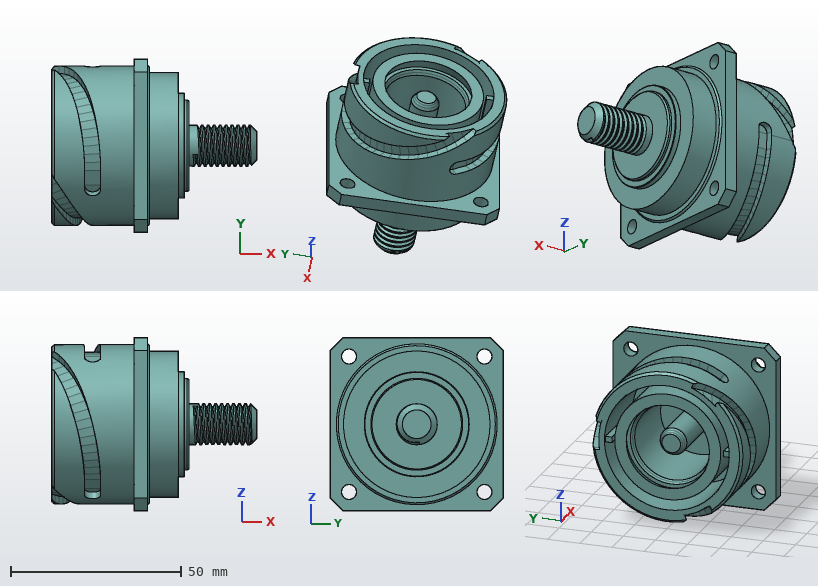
import cadquery as cq
import math

LENGTH = 60.2
FLANGE_FRONT = 24.2
FLANGE_THICKNESS = 4.0
FLANGE_BACK = FLANGE_FRONT + FLANGE_THICKNESS
COLLAR_BACK = FLANGE_BACK + 0.55
DRUM_BACK = 37.15
SHOULDER_BACK = 39.0
STEP_BACK = 40.35

BARREL_RADIUS = 23.4
BARREL_CHAMFER = 0.8
COLLAR_RADIUS = 23.6
COLLAR_CHAMFER = 0.55
DRUM_RADIUS = 21.5
SHOULDER_RADIUS = 15.4
SHOULDER_CHAMFER = 0.2
STEP_RADIUS = 13.5
STEP_CHAMFER = 0.35
STEP_CHAMFER_LENGTH = 0.65
STUD_RADIUS = 6.0
STUD_CHAMFER = 1.8

FLANGE_SIDE = 50.8
FLANGE_CORNER_CHAMFER = 3.75
HOLE_SPACING = 39.75
HOLE_DIAMETER = 4.35

SOCKET_RADIUS = 19.45
SOCKET_FLOOR = FLANGE_FRONT
SLEEVE_RADIUS = 16.5
SLEEVE_FRONT = 0.85
KEY_FRONT = 0.85
KEY_INNER_RADIUS = 17.4
KEY_WIDTH = 1.75

MOUTH_RADIUS = 12.95
MOUTH_FLARED_RADIUS = 13.95
LEDGE_X = 4.0
THROAT_RADIUS = 12.75
THROAT_TAPER_END_X = 4.75
THROAT_TAPER_END_RADIUS = 12.35
BORE_RADIUS = 12.0
BORE_BLEND_LENGTH = 0.7
BORE_FLOOR = FLANGE_BACK

PIN_RADIUS = 4.15
PIN_TIP_X = 3.85
PIN_TIP_RADIUS = 2.9
PIN_BEVEL_LENGTH = 0.5
PIN_BEVEL_RADIUS = 3.3
PIN_CONE_LENGTH = 1.1
PIN_CONE_RADIUS = 3.75
PIN_NOSE_LENGTH = 2.0

GROOVE_COUNT = 3
GROOVE_WIDTH = 4.7
GROOVE_FLOOR_RADIUS = 21.2
GROOVE_CUT_RADIUS = BARREL_RADIUS + 1.8
GROOVE_END_X = 12.05
GROOVE_END_ANGLE = -63.0
GROOVE_STRAIGHT_ANGLE = 13.0
GROOVE_MOUTH_ANGLE = 57.6
GROOVE_STEP_ANGLE = 6.7
GROOVE_OVERRUN_STEPS = 4

THREAD_PITCH = 1.75
THREAD_START_X = 42.15
THREAD_START_ANGLE = 116.0
THREAD_TURNS = 9.45
THREAD_DEPTH = 0.85
THREAD_OPENING = 1.25
THREAD_ROOT = 0.35


def revolve_about_axis(points):
    """Solid of revolution about X from (x, radius) points."""
    profile = cq.Workplane("XY").polyline(points).close()
    return profile.revolve(360, (0, 0, 0), (1, 0, 0))


def make_body():
    return revolve_about_axis([
        (0, 0),
        (0, BARREL_RADIUS - BARREL_CHAMFER),
        (BARREL_CHAMFER, BARREL_RADIUS),
        (FLANGE_FRONT, BARREL_RADIUS),
        (FLANGE_FRONT, COLLAR_RADIUS),
        (FLANGE_BACK, COLLAR_RADIUS),
        (COLLAR_BACK, COLLAR_RADIUS - COLLAR_CHAMFER),
        (COLLAR_BACK, DRUM_RADIUS),
        (DRUM_BACK, DRUM_RADIUS),
        (DRUM_BACK, SHOULDER_RADIUS),
        (SHOULDER_BACK - SHOULDER_CHAMFER, SHOULDER_RADIUS),
        (SHOULDER_BACK, SHOULDER_RADIUS - SHOULDER_CHAMFER),
        (SHOULDER_BACK, STEP_RADIUS),
        (STEP_BACK - STEP_CHAMFER_LENGTH, STEP_RADIUS),
        (STEP_BACK, STEP_RADIUS - STEP_CHAMFER),
        (STEP_BACK, 0),
    ])


def make_flange():
    plate = (
        cq.Workplane("YZ", origin=(FLANGE_FRONT, 0, 0))
        .rect(FLANGE_SIDE, FLANGE_SIDE)
        .extrude(FLANGE_THICKNESS)
        .edges("|X")
        .chamfer(FLANGE_CORNER_CHAMFER)
    )
    return (
        plate.faces("<X").workplane(origin=(FLANGE_FRONT, 0, 0))
        .rect(HOLE_SPACING, HOLE_SPACING, forConstruction=True)
        .vertices()
        .hole(HOLE_DIAMETER)
    )


def make_socket():
    """Annular space around the sleeve; the sleeve face sits behind the mating face."""
    return revolve_about_axis([
        (0, 0),
        (0, SOCKET_RADIUS),
        (SOCKET_FLOOR, SOCKET_RADIUS),
        (SOCKET_FLOOR, SLEEVE_RADIUS),
        (SLEEVE_FRONT, SLEEVE_RADIUS),
        (SLEEVE_FRONT, 0),
    ])


def make_keys():
    height = SOCKET_RADIUS - KEY_INNER_RADIUS
    overlap = 0.6
    key = cq.Workplane("XY").box(
        SOCKET_FLOOR - KEY_FRONT, height + overlap, KEY_WIDTH, centered=(False, False, True)
    ).translate((KEY_FRONT, KEY_INNER_RADIUS, 0))
    return key.union(key.mirror("XZ"))


def make_bore():
    """Flared mouth, ledge, two-step tapered throat, then a plain bore."""
    blend_end = THROAT_TAPER_END_X + BORE_BLEND_LENGTH
    profile = (
        cq.Workplane("XY")
        .moveTo(SLEEVE_FRONT, 0)
        .lineTo(SLEEVE_FRONT, MOUTH_RADIUS)
        .lineTo(LEDGE_X, MOUTH_FLARED_RADIUS)
        .lineTo(LEDGE_X, THROAT_RADIUS)
        .lineTo(THROAT_TAPER_END_X, THROAT_TAPER_END_RADIUS)
        .lineTo(blend_end, BORE_RADIUS)
        .lineTo(BORE_FLOOR, BORE_RADIUS)
        .lineTo(BORE_FLOOR, 0)
        .close()
    )
    return profile.revolve(360, (0, 0, 0), (1, 0, 0))


def make_pin():
    profile = (
        cq.Workplane("XY")
        .moveTo(PIN_TIP_X, 0)
        .lineTo(PIN_TIP_X, PIN_TIP_RADIUS)
        .lineTo(PIN_TIP_X + PIN_BEVEL_LENGTH, PIN_BEVEL_RADIUS)
        .lineTo(PIN_TIP_X + PIN_CONE_LENGTH, PIN_CONE_RADIUS)
        .tangentArcPoint((PIN_TIP_X + PIN_NOSE_LENGTH, PIN_RADIUS), relative=False)
        .lineTo(BORE_FLOOR, PIN_RADIUS)
        .lineTo(BORE_FLOOR, 0)
        .close()
    )
    return profile.revolve(360, (0, 0, 0), (1, 0, 0))


def groove_section(angle):
    """Rectangle across the groove; angle is measured from -Y towards +Z."""
    curve_start = GROOVE_END_ANGLE + GROOVE_STRAIGHT_ANGLE
    curve_length = math.radians(GROOVE_MOUTH_ANGLE - curve_start) * BARREL_RADIUS
    travelled = math.radians(max(angle - curve_start, 0)) * BARREL_RADIUS
    path_radius = (curve_length**2 + GROOVE_END_X**2) / (2 * GROOVE_END_X)
    x = GROOVE_END_X - path_radius + math.sqrt(path_radius**2 - travelled**2)
    slope = math.asin(travelled / path_radius)

    radial = cq.Vector(0, -math.cos(math.radians(angle)), math.sin(math.radians(angle)))
    around = cq.Vector(0, math.sin(math.radians(angle)), math.cos(math.radians(angle)))
    across = cq.Vector(math.cos(slope), 0, 0) + around * math.sin(slope)
    centre = cq.Vector(x, 0, 0)
    half = across * (GROOVE_WIDTH / 2)
    floor = centre + radial * GROOVE_FLOOR_RADIUS
    top = centre + radial * GROOVE_CUT_RADIUS
    return cq.Wire.makePolygon([floor - half, floor + half, top + half, top - half], close=True)


def make_groove():
    curve_start = GROOVE_END_ANGLE + GROOVE_STRAIGHT_ANGLE
    steps = round((GROOVE_MOUTH_ANGLE - curve_start) / GROOVE_STEP_ANGLE) + GROOVE_OVERRUN_STEPS
    angles = [GROOVE_END_ANGLE]
    angles += [curve_start + i * GROOVE_STEP_ANGLE for i in range(steps + 1)]
    channel = cq.Solid.makeLoft([groove_section(angle) for angle in angles], True)

    end = math.radians(GROOVE_END_ANGLE)
    outward = cq.Vector(0, -math.cos(end), math.sin(end))
    round_end = cq.Solid.makeCylinder(
        GROOVE_WIDTH / 2,
        GROOVE_CUT_RADIUS - GROOVE_FLOOR_RADIUS,
        cq.Vector(GROOVE_END_X, 0, 0) + outward * GROOVE_FLOOR_RADIUS,
        outward,
    )
    return cq.Workplane(channel).union(cq.Workplane(round_end))


def make_thread_groove():
    """Right-handed helical groove around X, built along Z and turned into place."""
    helix = cq.Wire.makeHelix(THREAD_PITCH, THREAD_PITCH * THREAD_TURNS, STUD_RADIUS)
    root_radius = STUD_RADIUS - THREAD_DEPTH
    clearance = 0.2
    flank_slope = (THREAD_OPENING - THREAD_ROOT) / 2 / THREAD_DEPTH
    half_outer = THREAD_OPENING / 2 + clearance * flank_slope
    profile = cq.Workplane("XZ").polyline([
        (root_radius, -THREAD_ROOT / 2),
        (root_radius, THREAD_ROOT / 2),
        (STUD_RADIUS + clearance, half_outer),
        (STUD_RADIUS + clearance, -half_outer),
    ]).close()
    groove = profile.sweep(cq.Workplane(helix), isFrenet=True)
    groove = groove.rotate((0, 0, 0), (0, 1, 0), 90)
    groove = groove.rotate((0, 0, 0), (1, 0, 0), THREAD_START_ANGLE - 270)
    return groove.translate((THREAD_START_X, 0, 0))


def make_threaded_stud():
    stud = cq.Workplane("YZ", origin=(STEP_BACK, 0, 0)).circle(STUD_RADIUS).extrude(LENGTH - STEP_BACK)
    stud = stud.cut(make_thread_groove())
    envelope = revolve_about_axis([
        (STEP_BACK, 0),
        (STEP_BACK, STUD_RADIUS + STUD_CHAMFER),
        (LENGTH - 2 * STUD_CHAMFER, STUD_RADIUS + STUD_CHAMFER),
        (LENGTH, STUD_RADIUS - STUD_CHAMFER),
        (LENGTH, 0),
    ])
    return stud.intersect(envelope)


body = make_body().union(make_flange())
body = body.cut(make_socket()).union(make_keys())
body = body.cut(make_bore()).union(make_pin())

groove = make_groove()
for i in range(GROOVE_COUNT):
    body = body.cut(groove.rotate((0, 0, 0), (1, 0, 0), i * 360 / GROOVE_COUNT))

result = body.union(make_threaded_stud())